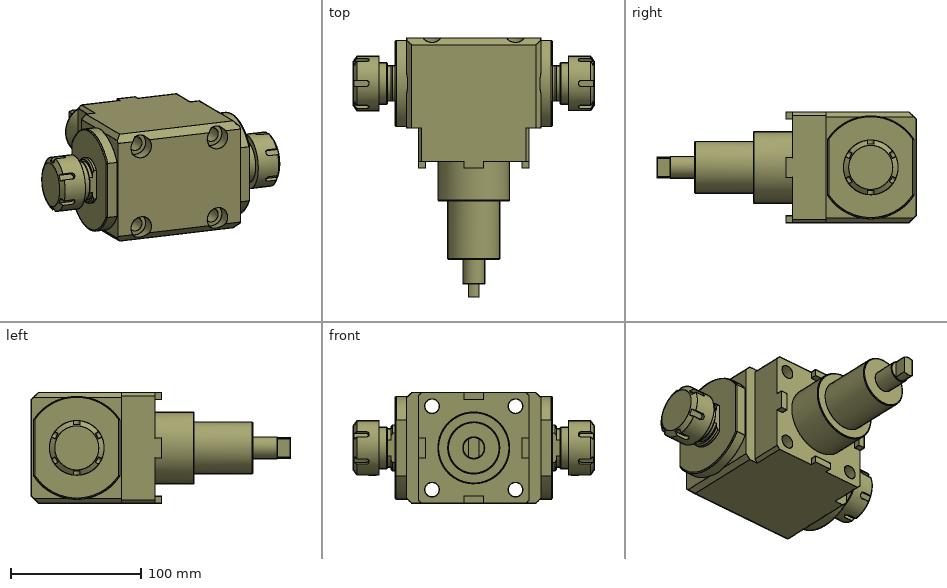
import cadquery as cq


overall_length = 198.8

block_width = 102.8
block_height = 85.0
block_back = 35.0
block_depth = 69.2
block_side_chamfer = 3.8
block_back_chamfer = 5.5

flange_size = block_height
flange_depth = 25.8
flange_chamfer = 2.5

tab_width = 15.1
tab_height = 5.5
tab_length = 5.0

bolt_offset = 32.0
bolt_hole_diameter = 11.0
counterbore_diameter = 17.0
counterbore_depth = 11.0

pilot_diameter = 55.0
pilot_length = 30.0
sleeve_diameter = 40.0
sleeve_length = 45.0
drive_diameter = 16.9
drive_length = 18.9
shank_chamfer = 0.5
drive_chamfer = 0.4
tang_diameter = 16.0
tang_thickness = 8.2

cover_diameter = 79.0
cover_width = 66.2
cover_face = 60.2
cover_chamfer_length = 1.0
cover_chamfer_height = 0.5

spindle_tip = 92.5
nut_diameter = 42.0
nut_length = 19.9
nut_front_diameter = 33.8
nut_chamfer_length = 2.8
collar_diameter = 32.0
collar_length = 6.4
collar_chamfer = 0.5
neck_diameter = 29.8
neck_length = 2.8
shoulder_diameter = 35.4
shoulder_chamfer = 1.2
wrench_flat_width = 27.2

slot_count = 6
slot_width = 4.8
slot_length = 12.1
slot_floor_radius = 17.9

block_front = block_back - block_depth
flange_face = block_front - flange_depth
pilot_end = flange_face - pilot_length
sleeve_end = pilot_end - sleeve_length
drive_end = sleeve_end - drive_length
tang_end = block_back - overall_length


def box_between(x_size, y_low, y_high, z_size):
    """Box centred on the Y axis that spans y_low to y_high."""
    middle = (y_low + y_high) / 2
    return cq.Workplane("XY").box(x_size, y_high - y_low, z_size).translate((0, middle, 0))


def shank_step(diameter, y_start, y_end):
    """Cylinder on the Y axis that runs from y_start toward -Y."""
    plane = cq.Workplane("XZ", origin=(0, y_start, 0))
    return plane.circle(diameter / 2).extrude(y_start - y_end)


def make_block():
    block = box_between(block_width, block_front, block_back, block_height)
    long_edges_cut = block.edges("|Y").chamfer(block_side_chamfer)
    back_edges_cut = block.edges(">Y and |X").chamfer(block_back_chamfer)
    return long_edges_cut.intersect(back_edges_cut)


def make_flange():
    flange = box_between(flange_size, flange_face, block_front, flange_size)
    return flange.edges("|Y").chamfer(flange_chamfer)


def make_tabs():
    reach = flange_size / 2 - tab_height / 2
    tab_end = flange_face - tab_length
    upright = box_between(tab_height, tab_end, flange_face, tab_width)
    level = box_between(tab_width, tab_end, flange_face, tab_height)
    tabs = cq.Workplane("XY")
    for side in (-1, 1):
        tabs = tabs.add(upright.translate((side * reach, 0, 0)))
        tabs = tabs.add(level.translate((0, 0, side * reach)))
    return tabs.combine()


def make_shank():
    pilot = shank_step(pilot_diameter, flange_face, pilot_end).faces("<Y").chamfer(shank_chamfer)
    sleeve = shank_step(sleeve_diameter, pilot_end, sleeve_end).faces("<Y").chamfer(shank_chamfer)
    drive = shank_step(drive_diameter, sleeve_end, drive_end).faces("<Y").chamfer(drive_chamfer)
    tang_round = shank_step(tang_diameter, drive_end, tang_end)
    tang_flats = box_between(tang_thickness, tang_end, drive_end, tang_diameter)
    return pilot.union(sleeve).union(drive).union(tang_round.intersect(tang_flats))


def make_cover():
    """Cover on the +X side, from the block centre out: a disc with two flats and a bevelled rim."""
    disc = cq.Workplane("YZ").circle(cover_diameter / 2).extrude(cover_face)
    slab = cq.Workplane("YZ").rect(cover_width, cover_diameter).extrude(cover_face)
    cover = disc.intersect(slab)
    return cover.faces(">X").edges().chamfer(cover_chamfer_length, cover_chamfer_height)


def make_bolt_holes():
    corners = [(x, z) for x in (-bolt_offset, bolt_offset) for z in (-bolt_offset, bolt_offset)]
    back = cq.Workplane("XZ", origin=(0, block_back, 0)).pushPoints(corners)
    bores = back.circle(bolt_hole_diameter / 2).extrude(block_back - flange_face)
    counterbores = back.circle(counterbore_diameter / 2).extrude(counterbore_depth)
    return bores.union(counterbores)


def make_housing():
    cover = make_cover()
    housing = make_block().union(make_flange()).union(make_tabs()).union(make_shank())
    housing = housing.union(cover).union(cover.mirror("YZ"))
    return housing.cut(make_bolt_holes())


def make_spanner_slot():
    """Cutter for the nut slot that faces +Z, with a round inner end."""
    straight = slot_length - slot_width / 2
    plane = cq.Workplane("XY", origin=(0, 0, slot_floor_radius))
    depth = nut_diameter / 2
    channel = plane.center(spindle_tip - straight / 2, 0).rect(straight, slot_width).extrude(depth)
    round_end = plane.center(spindle_tip - straight, 0).circle(slot_width / 2).extrude(depth)
    return channel.union(round_end)


def make_spindle():
    """Spindle on the +X side, turned about X and resting on the cover face."""
    nut_back = spindle_tip - nut_length
    collar_back = nut_back - collar_length
    shoulder_front = collar_back - neck_length
    profile = [
        (cover_face, 0),
        (cover_face, shoulder_diameter / 2),
        (shoulder_front - shoulder_chamfer, shoulder_diameter / 2),
        (shoulder_front, shoulder_diameter / 2 - shoulder_chamfer),
        (shoulder_front, neck_diameter / 2),
        (collar_back, neck_diameter / 2),
        (collar_back, collar_diameter / 2 - collar_chamfer),
        (collar_back + collar_chamfer, collar_diameter / 2),
        (nut_back, collar_diameter / 2),
        (nut_back, nut_diameter / 2),
        (spindle_tip - nut_chamfer_length, nut_diameter / 2),
        (spindle_tip, nut_front_diameter / 2),
        (spindle_tip, 0),
    ]
    spindle = cq.Workplane("XY").polyline(profile).close().revolve(360, (0, 0, 0), (1, 0, 0))

    flat_length = collar_back - cover_face
    cover_plane = cq.Workplane("YZ", origin=(cover_face, 0, 0))
    surround = cover_plane.circle(shoulder_diameter).extrude(flat_length)
    between_flats = cover_plane.rect(wrench_flat_width, 2 * shoulder_diameter).extrude(flat_length)
    spindle = spindle.cut(surround.cut(between_flats))

    slot = make_spanner_slot()
    for index in range(slot_count):
        spindle = spindle.cut(slot.rotate((0, 0, 0), (1, 0, 0), index * 360 / slot_count))
    return spindle


housing = make_housing()
spindles = []
for turn in (0, 180):
    spindles.append(make_spindle().rotate((0, 0, 0), (0, 0, 1), turn))

result = cq.Compound.makeCompound([housing.val()] + [spindle.val() for spindle in spindles])